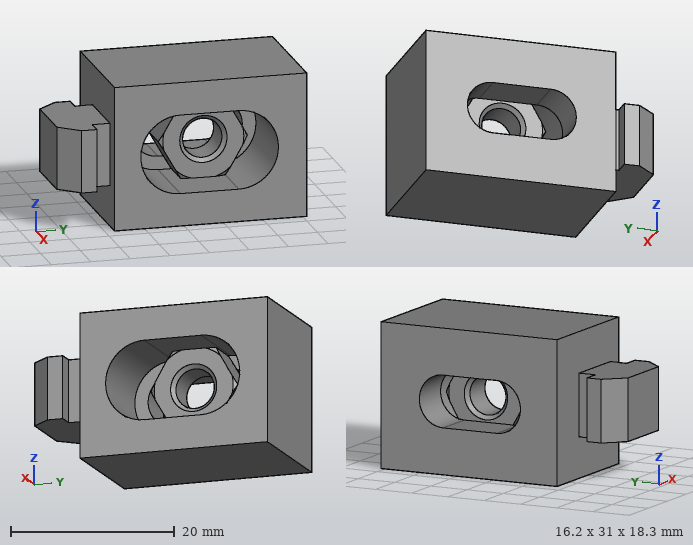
import cadquery as cq
import math

block_width = 16.2
block_height = 18.3
total_length = 31.0

key_width = 12.62
key_height = 7.95
neck_width = 8.25
neck_length = 2.23
head_side_length = 1.95
head_taper_length = 2.5
head_taper_width = 2.3
key_length = neck_length + head_side_length + head_taper_length
block_length = total_length - key_length
side_x = block_width / 2
key_center_x = side_x - key_width / 2

slot_length = 13.95
slot_height = 6.57
slot_depth = 5.58
slot_center_y = 12.03
channel_height = 10.0
channel_length = slot_length + channel_height - slot_height
shoulder_x = slot_depth - side_x

nut_across_flats = 9.75
nut_thickness = 5.0
nut_bore = 4.95
nut_countersink = 5.98
nut_face_diameter = 10.23
nut_center_y = 12.75
nut_corner_diameter = nut_across_flats / math.cos(math.pi / 6)
countersink_depth = (nut_countersink - nut_bore) / 2
corner_chamfer_depth = (nut_corner_diameter - nut_face_diameter) / 2 * math.tan(math.pi / 6)


def make_key():
    """T-shaped key, symmetric about its own centre line."""
    head_y = -neck_length
    taper_y = head_y - head_side_length
    half_key = key_width / 2
    half_tip = half_key - head_taper_width
    right_outline = [
        (neck_width / 2, 0),
        (neck_width / 2, head_y),
        (half_key, head_y),
        (half_key, taper_y),
        (half_tip, -key_length),
    ]
    left_outline = [(-x, y) for x, y in reversed(right_outline)]
    return (
        cq.Workplane("XY")
        .polyline(right_outline + left_outline)
        .close()
        .extrude(key_height / 2, both=True)
        .translate((key_center_x, 0, 0))
    )


def slot_cutter(length, height, start_x, end_x):
    """Round-ended bar along X, centred on the slot."""
    return (
        cq.Workplane("YZ", origin=(start_x, slot_center_y, 0))
        .slot2D(length, height)
        .extrude(end_x - start_x)
    )


def make_housing():
    block = cq.Workplane("XY").box(block_width, block_length, block_height)
    block = block.translate((0, block_length / 2, 0))
    slot = slot_cutter(slot_length, slot_height, -side_x, shoulder_x)
    channel = slot_cutter(channel_length, channel_height, shoulder_x, side_x)
    return block.union(make_key()).cut(slot).cut(channel)


def nut_corner_envelope():
    """Turned shape, coned at both ends, that chamfers the hexagon corners."""
    face_radius = nut_face_diameter / 2
    corner_radius = nut_corner_diameter / 2
    outline = [
        (0, 0),
        (0, face_radius),
        (corner_chamfer_depth, corner_radius),
        (nut_thickness - corner_chamfer_depth, corner_radius),
        (nut_thickness, face_radius),
        (nut_thickness, 0),
    ]
    return cq.Workplane("XY").polyline(outline).close().revolve(360, (0, 0, 0), (1, 0, 0))


def make_nut():
    hexagon = cq.Workplane("YZ").polygon(6, nut_corner_diameter).extrude(nut_thickness)
    nut = hexagon.intersect(nut_corner_envelope())
    bore = cq.Workplane("YZ").circle(nut_bore / 2).extrude(nut_thickness)
    nut = nut.cut(bore)
    for mouth_x, direction in ((0, 1), (nut_thickness, -1)):
        countersink = cq.Solid.makeCone(
            nut_countersink / 2,
            nut_bore / 2,
            countersink_depth,
            pnt=cq.Vector(mouth_x, 0, 0),
            dir=cq.Vector(direction, 0, 0),
        )
        nut = nut.cut(cq.Workplane(countersink))
    return nut.translate((shoulder_x, nut_center_y, 0))


housing = make_housing()
nut = make_nut()
result = cq.Compound.makeCompound([housing.solids().val(), nut.solids().val()])